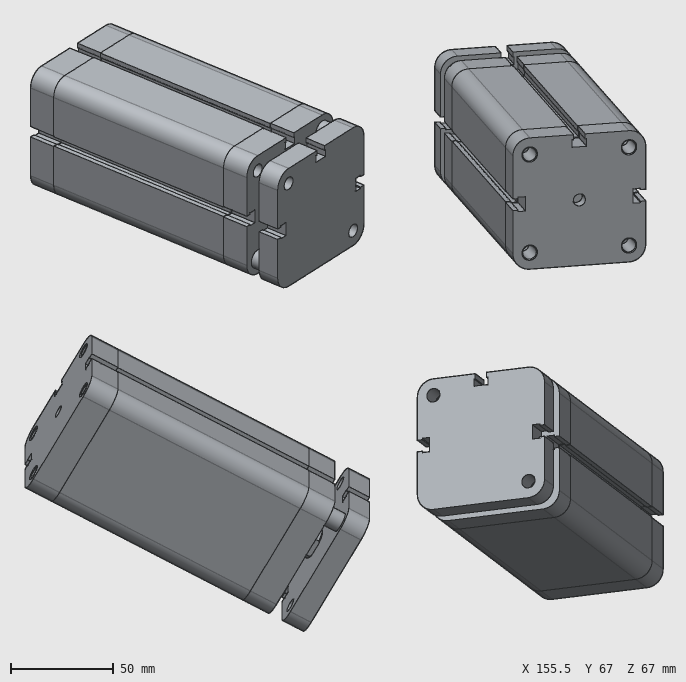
import cadquery as cq

LENGTH = 155.5
SIDE = 67.0
CORNER_RADIUS = 8.5

HOUSING_LENGTH = 136.0
CAP_LENGTH = 14.6
PLATE_THICKNESS = 11.7
BARREL_END = HOUSING_LENGTH - CAP_LENGTH
PLATE_START = LENGTH - PLATE_THICKNESS

LIP_DEPTH = 2.6
CAP_SLOT_NECK = 5.9
CAP_SLOT_HEAD = 7.3
CAP_SLOT_DEPTH = 6.4
BARREL_SLOT_NECK = 5.3
BARREL_SLOT_HEAD = 6.5
BARREL_SLOT_DEPTH = 5.8
SLOT_ANGLES = (0, 90, -90)

CORNER_OFFSET = 25.0
GUIDE_CORNERS = [(CORNER_OFFSET, CORNER_OFFSET), (-CORNER_OFFSET, -CORNER_OFFSET)]
OPEN_CORNERS = [(CORNER_OFFSET, -CORNER_OFFSET), (-CORNER_OFFSET, CORNER_OFFSET)]

CORNER_HOLE_DIAMETER = 6.8
CORNER_HOLE_CHAMFER = 0.5
CENTRE_HOLE_DIAMETER = 6.0
CENTRE_HOLE_DEPTH = 6.2

ROD_DIAMETER = 16.0
ROD_CHAMFER = 0.6
ROD_ACROSS_FLATS = 13.0
FLAT_START = HOUSING_LENGTH + 1.0
GUIDE_DIAMETER = 10.0


def cross_section(x):
    """Workplane at a station along X; its local axes are Y and Z."""
    return cq.Workplane("YZ", origin=(x, 0, 0))


def cylinders(x_start, x_end, diameter, centres=((0, 0),)):
    """Cylinders along X at the given (y, z) centres."""
    return cross_section(x_start).pushPoints(centres).circle(diameter / 2).extrude(x_end - x_start)


def slotted_block(x_start, x_end, neck, head, depth):
    """Rounded square block with a T-slot along X in its top and both flanks."""
    length = x_end - x_start
    top = SIDE / 2
    block = cross_section(x_start).rect(SIDE, SIDE).extrude(length).edges("|X").fillet(CORNER_RADIUS)
    slot_outline = [
        (neck / 2, top),
        (neck / 2, top - LIP_DEPTH),
        (head / 2, top - LIP_DEPTH),
        (head / 2, top - depth),
        (-head / 2, top - depth),
        (-head / 2, top - LIP_DEPTH),
        (-neck / 2, top - LIP_DEPTH),
        (-neck / 2, top),
    ]
    slot = cross_section(x_start).polyline(slot_outline).close().extrude(length)
    for angle in SLOT_ANGLES:
        block = block.cut(slot.rotate((0, 0, 0), (1, 0, 0), angle))
    return block


def cap_block(x_start, x_end):
    """Slotted block with the wider T-slots shared by the caps and the plate."""
    return slotted_block(x_start, x_end, CAP_SLOT_NECK, CAP_SLOT_HEAD, CAP_SLOT_DEPTH)


def corner_hole_cutter():
    """One back-cap corner hole, on the X axis, with a chamfered mouth at x = 0."""
    hole_radius = CORNER_HOLE_DIAMETER / 2
    mouth_radius = hole_radius + CORNER_HOLE_CHAMFER
    half_profile = [
        (0, 0),
        (0, mouth_radius),
        (CORNER_HOLE_CHAMFER, hole_radius),
        (CAP_LENGTH, hole_radius),
        (CAP_LENGTH, 0),
    ]
    return cq.Workplane("XY").polyline(half_profile).close().revolve(360, (0, 0), (1, 0))


def make_back_cap():
    """End cap with four chamfered corner holes and a blind centre hole."""
    cap = cap_block(0, CAP_LENGTH)
    for y, z in OPEN_CORNERS + GUIDE_CORNERS:
        cap = cap.cut(corner_hole_cutter().translate((0, y, z)))
    return cap.cut(cylinders(0, CENTRE_HOLE_DEPTH, CENTRE_HOLE_DIAMETER))


def make_barrel():
    """Extruded profile between the caps, with two through holes."""
    barrel = slotted_block(CAP_LENGTH, BARREL_END, BARREL_SLOT_NECK, BARREL_SLOT_HEAD, BARREL_SLOT_DEPTH)
    return barrel.cut(cylinders(CAP_LENGTH, BARREL_END, CORNER_HOLE_DIAMETER, OPEN_CORNERS))


def make_front_cap():
    """Bearing cap bored for the piston rod and the guide rods, with two through holes."""
    cap = cap_block(BARREL_END, HOUSING_LENGTH)
    cap = cap.cut(cylinders(BARREL_END, HOUSING_LENGTH, CORNER_HOLE_DIAMETER, OPEN_CORNERS))
    cap = cap.cut(cylinders(BARREL_END, HOUSING_LENGTH, GUIDE_DIAMETER, GUIDE_CORNERS))
    return cap.cut(cylinders(BARREL_END, HOUSING_LENGTH, ROD_DIAMETER))


def make_piston_rod():
    """Round rod from the barrel to the plate, chamfered at the tip, with two wrench flats facing Z."""
    rod = cylinders(BARREL_END, PLATE_START, ROD_DIAMETER).faces(">X").chamfer(ROD_CHAMFER)
    flat_length = PLATE_START - FLAT_START
    flat_depth = (ROD_DIAMETER - ROD_ACROSS_FLATS) / 2
    flat_centres = [(0, side * (ROD_ACROSS_FLATS + flat_depth) / 2) for side in (1, -1)]
    flats = cross_section(FLAT_START).pushPoints(flat_centres).rect(ROD_DIAMETER, flat_depth)
    return rod.cut(flats.extrude(flat_length))


def make_guided_plate():
    """Front plate with its two fixed guide rods and two through holes."""
    plate = cap_block(PLATE_START, LENGTH)
    plate = plate.cut(cylinders(PLATE_START, LENGTH, CORNER_HOLE_DIAMETER, OPEN_CORNERS))
    return plate.union(cylinders(BARREL_END, PLATE_START, GUIDE_DIAMETER, GUIDE_CORNERS))


back_cap = make_back_cap()
barrel = make_barrel()
front_cap = make_front_cap()
piston_rod = make_piston_rod()
guided_plate = make_guided_plate()

result = cq.Compound.makeCompound(
    [back_cap.val(), barrel.val(), front_cap.val(), piston_rod.val(), guided_plate.val()]
)